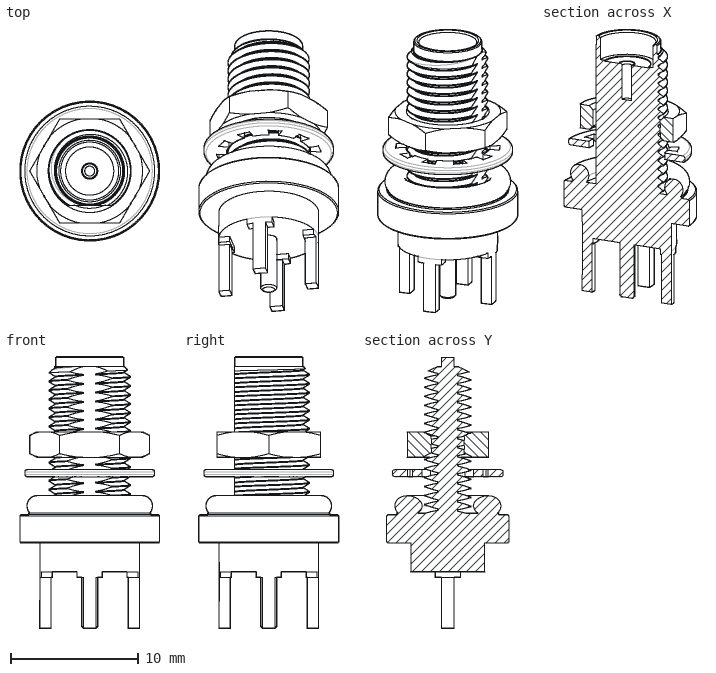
import cadquery as cq
import math

PIN_BOTTOM = -4.0
BASE_BOTTOM = 0.45
FLANGE_BOTTOM = 2.7
FLANGE_TOP = 4.94
WASHER_BOTTOM = 7.91
NUT_BOTTOM = 9.44
COLLAR_BOTTOM = 16.55
COLLAR_TOP = 17.34

BASE_RADIUS = 7.85 / 2
FLANGE_RADIUS = 11.0 / 2
FLANGE_CHAMFER = 0.1
RING_SECTION_RADIUS = 0.82
RING_OUTER_RADIUS = 4.94
RING_SEAT_RADIUS = 9.6 / 2
RING_SEAT_HEIGHT = 0.12
RING_SINK = 0.26

THREAD_RADIUS = 6.4 / 2
THREAD_ROOT_RADIUS = 2.74
THREAD_PITCH = 0.709
THREAD_CREST_WIDTH = 0.07
THREAD_ROOT_WIDTH = 0.07
THREAD_CREST_HEIGHT = 16.11
CUTTER_OVERLAP = 0.05
BARREL_FLAT = 2.7
BARREL_CHAMFER_RADIUS = 2.75
BARREL_CHAMFER_HEIGHT = 0.5

COLLAR_RADIUS = 5.35 / 2
COLLAR_CHAMFER = 0.08
SOCKET_RADIUS = 4.56 / 2
SOCKET_MOUTH_RADIUS = 2.42
SOCKET_DEPTH = 1.95
INSULATOR_RADIUS = 3.79 / 2
INSULATOR_RECESS = 0.07
CONTACT_RADIUS = 1.27 / 2
CONTACT_BORE_RADIUS = 0.78 / 2
CONTACT_BORE_DEPTH = 3.0
CONTACT_CHAMFER = 0.17
PIN_CHAMFER = 0.15

FOOT_WIDTH = 2.0
FOOT_INNER = 2.93
LEG_WIDTH = 1.0
LEG_INNER = 3.02
LEG_COUNT = 4

NUT_FLATS = 8.16
NUT_THICKNESS = 2.0
NUT_CHAMFER_RADIUS = 8.3 / 2
NUT_CHAMFER_ANGLE = 27.0
NUT_BORE_RADIUS = 2.93
NUT_MOUTH_RADIUS = 3.26

WASHER_THICKNESS = 0.57
WASHER_RADIUS = 10.2 / 2
WASHER_HOLE_RADIUS = 6.6 / 2
WASHER_FILLET = 0.18
NOTCH_COUNT = 10
NOTCH_OUTER = 4.08
NOTCH_OUTER_WIDTH = 1.08
NOTCH_INNER_WIDTH = 0.75


def cylinder(radius, bottom, top):
    """Round bar on the Z axis between two heights."""
    return cq.Workplane("XY").workplane(offset=bottom).circle(radius).extrude(top - bottom)


def revolved(points):
    """Turned shape from (radius, height) points."""
    return cq.Workplane("XZ").polyline(points).close().revolve(360, (0, 0), (0, 1))


def thread_groove(bottom, top):
    """Helical groove cutter, right-handed, whose ends lie beyond the two given heights."""
    flank_height = (THREAD_PITCH - THREAD_CREST_WIDTH - THREAD_ROOT_WIDTH) / 2
    root_half = THREAD_ROOT_WIDTH / 2
    mouth_half = root_half + flank_height
    mouth_radius = THREAD_RADIUS + CUTTER_OVERLAP
    start = THREAD_CREST_HEIGHT - (math.ceil((THREAD_CREST_HEIGHT - bottom) / THREAD_PITCH) + 1) * THREAD_PITCH
    length = (math.ceil((top - start) / THREAD_PITCH) + 1) * THREAD_PITCH
    profile = [
        (THREAD_ROOT_RADIUS, -root_half),
        (THREAD_RADIUS, -mouth_half),
        (mouth_radius, -mouth_half),
        (mouth_radius, mouth_half),
        (THREAD_RADIUS, mouth_half),
        (THREAD_ROOT_RADIUS, root_half),
    ]
    helices = [
        cq.Wire.makeHelix(THREAD_PITCH, length, radius, cq.Vector(0, 0, start + height))
        for radius, height in profile
    ]
    next_helices = helices[1:] + helices[:1]
    faces = []
    for helix, next_helix in zip(helices, next_helices):
        faces.extend(cq.Face.makeRuledSurface(helix, next_helix).Faces())
    for end in (start, start + length):
        corners = [cq.Vector(radius, 0, end + height) for radius, height in profile]
        faces.append(cq.Face.makeFromWires(cq.Wire.makePolygon(corners, close=True)))
    return cq.Workplane(obj=cq.Solid.makeSolid(cq.Shell.makeShell(faces)))


def build_threaded_rod():
    """Full round thread from the flange to the collar, chamfered at its upper end."""
    envelope = revolved([
        (0, FLANGE_TOP),
        (THREAD_RADIUS, FLANGE_TOP),
        (THREAD_RADIUS, COLLAR_BOTTOM - BARREL_CHAMFER_HEIGHT),
        (BARREL_CHAMFER_RADIUS, COLLAR_BOTTOM),
        (0, COLLAR_BOTTOM),
    ])
    return envelope.cut(thread_groove(FLANGE_TOP, COLLAR_BOTTOM))


def barrel(threaded_rod):
    """Threaded rod with a flat along its -Y side."""
    flat_depth = THREAD_RADIUS - BARREL_FLAT
    flat = (
        cq.Workplane("XY").workplane(offset=FLANGE_TOP)
        .center(0, -BARREL_FLAT - flat_depth / 2)
        .rect(2 * THREAD_RADIUS, flat_depth)
        .extrude(COLLAR_BOTTOM - FLANGE_TOP)
    )
    return threaded_rod.cut(flat)


def flange():
    """Base, the chamfered flange on top of it and the low step that carries the ring."""
    base = cylinder(BASE_RADIUS, BASE_BOTTOM, FLANGE_BOTTOM)
    disc = cylinder(FLANGE_RADIUS, FLANGE_BOTTOM, FLANGE_TOP).edges().chamfer(FLANGE_CHAMFER)
    seat = cylinder(RING_SEAT_RADIUS, FLANGE_TOP, FLANGE_TOP + RING_SEAT_HEIGHT)
    return base.union(disc).union(seat)


def sealing_ring():
    """Round-section ring set slightly into the step on the flange."""
    centre_radius = RING_OUTER_RADIUS - RING_SECTION_RADIUS
    centre_height = FLANGE_TOP + RING_SEAT_HEIGHT + RING_SECTION_RADIUS - RING_SINK
    section = (
        cq.Workplane("XZ")
        .transformed(offset=(centre_radius, centre_height, 0), rotate=(0, 0, 180))
        .circle(RING_SECTION_RADIUS)
    )
    return section.revolve(360, (centre_radius, 0), (centre_radius, 1))


def legs():
    """Foot pads and the solder legs below them, one set on each axis direction."""
    pads = cq.Workplane("XY")
    for height, bottom, inner, width in (
        (BASE_BOTTOM, 0, FOOT_INNER, FOOT_WIDTH),
        (-PIN_BOTTOM, PIN_BOTTOM, LEG_INNER, LEG_WIDTH),
    ):
        length = BASE_RADIUS - inner
        bar = (
            cq.Workplane("XY").workplane(offset=bottom)
            .center(inner + length / 2, 0).rect(length, width).extrude(height)
            .intersect(cylinder(BASE_RADIUS, bottom, bottom + height))
        )
        for i in range(LEG_COUNT):
            pads = pads.add(bar.rotate((0, 0, 0), (0, 0, 1), i * 360 / LEG_COUNT))
    return pads.combine()


def socket():
    """Bore in the collar, with the insulator face slightly recessed in its floor."""
    floor = COLLAR_TOP - SOCKET_DEPTH
    mouth_bevel = SOCKET_MOUTH_RADIUS - SOCKET_RADIUS
    return revolved([
        (0, floor - INSULATOR_RECESS),
        (INSULATOR_RADIUS, floor - INSULATOR_RECESS),
        (INSULATOR_RADIUS, floor),
        (SOCKET_RADIUS, floor),
        (SOCKET_RADIUS, COLLAR_TOP - mouth_bevel),
        (SOCKET_MOUTH_RADIUS, COLLAR_TOP),
        (0, COLLAR_TOP),
    ])


def contact_bore():
    """Chamfered hole in the upper end of the centre contact."""
    top = COLLAR_TOP - SOCKET_DEPTH
    return revolved([
        (0, top - CONTACT_BORE_DEPTH),
        (CONTACT_BORE_RADIUS, top - CONTACT_BORE_DEPTH),
        (CONTACT_BORE_RADIUS, top - CONTACT_CHAMFER),
        (CONTACT_BORE_RADIUS + CONTACT_CHAMFER, top),
        (0, top),
    ])


def build_connector(threaded_rod):
    """Connector shell with its ring, feet, legs and centre contact as one solid."""
    collar = cylinder(COLLAR_RADIUS, COLLAR_BOTTOM, COLLAR_TOP).faces(">Z").edges().chamfer(COLLAR_CHAMFER)
    pin = cylinder(CONTACT_RADIUS, PIN_BOTTOM, BASE_BOTTOM).faces("<Z").edges().chamfer(PIN_CHAMFER)
    contact_tip = cylinder(CONTACT_RADIUS, FLANGE_TOP, COLLAR_TOP - SOCKET_DEPTH)
    shell = barrel(threaded_rod).union(collar).union(flange()).cut(socket())
    shell = shell.union(contact_tip).cut(contact_bore())
    return shell.union(legs()).union(pin).union(sealing_ring())


def build_nut(threaded_rod):
    """Hexagon nut, corners on the X axis, its bevelled bore threaded to match the barrel."""
    top = NUT_BOTTOM + NUT_THICKNESS
    corner_radius = NUT_FLATS / math.sqrt(3)
    drop = (corner_radius - NUT_CHAMFER_RADIUS) * math.tan(math.radians(NUT_CHAMFER_ANGLE))
    hexagon = cq.Workplane("XY").workplane(offset=NUT_BOTTOM).polygon(6, 2 * corner_radius).extrude(NUT_THICKNESS)
    envelope = revolved([
        (0, NUT_BOTTOM),
        (NUT_CHAMFER_RADIUS, NUT_BOTTOM),
        (corner_radius, NUT_BOTTOM + drop),
        (corner_radius, top - drop),
        (NUT_CHAMFER_RADIUS, top),
        (0, top),
    ])
    mouth_bevel = NUT_MOUTH_RADIUS - NUT_BORE_RADIUS
    bore = revolved([
        (0, NUT_BOTTOM),
        (NUT_MOUTH_RADIUS, NUT_BOTTOM),
        (NUT_BORE_RADIUS, NUT_BOTTOM + mouth_bevel),
        (NUT_BORE_RADIUS, top - mouth_bevel),
        (NUT_MOUTH_RADIUS, top),
        (0, top),
    ])
    return hexagon.intersect(envelope).cut(threaded_rod).cut(bore)


def build_washer():
    """Round-edged washer with flared notches opening into its hole."""
    top = WASHER_BOTTOM + WASHER_THICKNESS
    washer = cylinder(WASHER_RADIUS, WASHER_BOTTOM, top).edges().fillet(WASHER_FILLET)
    washer = washer.cut(cylinder(WASHER_HOLE_RADIUS, WASHER_BOTTOM, top))
    flare = (NOTCH_OUTER_WIDTH - NOTCH_INNER_WIDTH) / (NOTCH_OUTER - WASHER_HOLE_RADIUS)
    notch_start = THREAD_ROOT_RADIUS
    start_half = (NOTCH_INNER_WIDTH - flare * (WASHER_HOLE_RADIUS - notch_start)) / 2
    notch = (
        cq.Workplane("XY").workplane(offset=WASHER_BOTTOM)
        .polyline([
            (notch_start, -start_half),
            (NOTCH_OUTER, -NOTCH_OUTER_WIDTH / 2),
            (NOTCH_OUTER, NOTCH_OUTER_WIDTH / 2),
            (notch_start, start_half),
        ])
        .close().extrude(WASHER_THICKNESS)
    )
    for i in range(NOTCH_COUNT):
        washer = washer.cut(notch.rotate((0, 0, 0), (0, 0, 1), i * 360 / NOTCH_COUNT))
    return washer


threaded_rod = build_threaded_rod()
connector = build_connector(threaded_rod)
nut = build_nut(threaded_rod)
washer = build_washer()

result = cq.Compound.makeCompound([connector.val(), nut.val(), washer.val()])